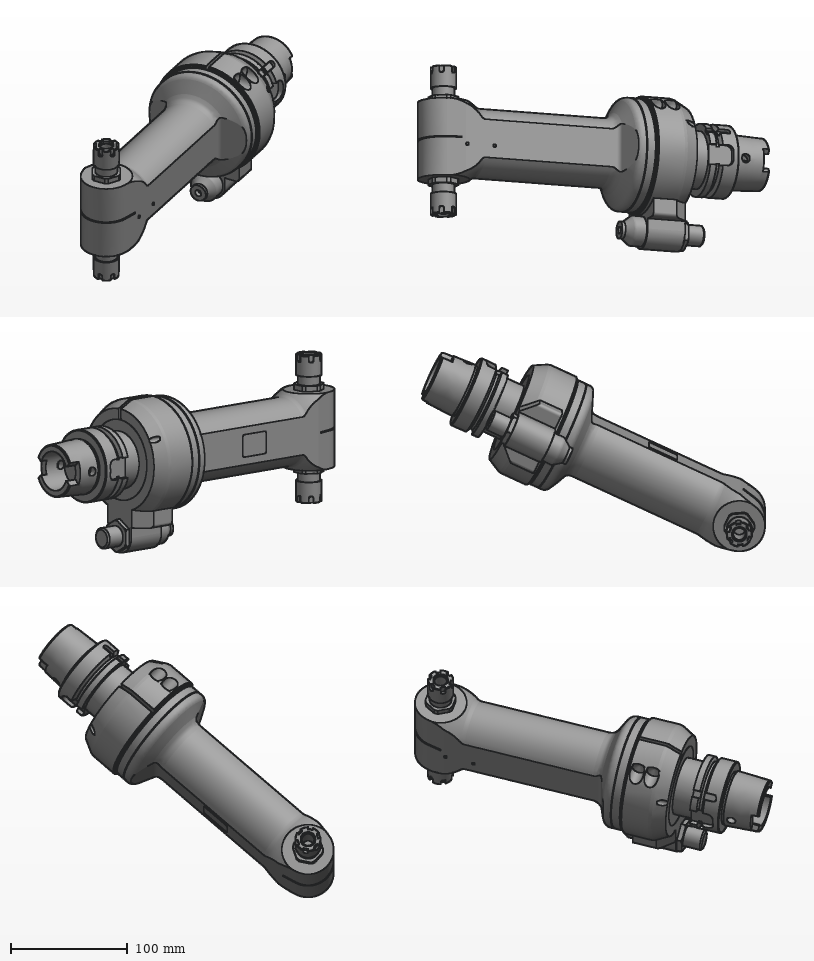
import cadquery as cq
import math


taper_length = 32.0
taper_dia = 48.3
taper_tail_dia = 45.4
tail_chamfer = 1.0
undercut_width = 2.0
undercut_dia = 46.6
flange_dia = 63.0
flange_length = 26.0
flange_chamfer = 0.8
grip_groove_dia = 55.0
grip_groove_start = -14.4
grip_groove_floor_start = -16.6
grip_groove_floor_end = -19.0
grip_groove_end = -20.2
neck_dia = 50.0
shank_bore_dia = 34.0
shank_bore_depth = 27.0
cross_hole_dia = 7.5
cross_hole_y = 9.0
drive_slot_half_width = 6.25
drive_slot_mouth_half_width = 10.0
drive_slot_flare_start = 17.0
drive_slot_flare_end = 20.5
drive_slot_depths = {-1: 10.0, 1: 6.0}
key_width = 18.0
key_floor = 26.5
key_end_y = -5.0
key_corner_radius = 5.5
notch_width = 6.0
notch_depth = 3.0
notch_angle = 45.0
notch_end_radius = 2.7

ring_dia = 102.0
ring_bore_dia = 70.0
ring_start = -43.3
ring_end = -81.8
ring_back_dia = 88.8
ring_cone_end = -55.7
ring_cone_edge_radius = 6.0
ring_front_chamfer = 1.0
clamp_slot_width = 3.0
clamp_screw_dia = 12.0
clamp_screw_ys = (-60.6, -73.6)
clamp_screw_z = 41.0
clamp_screw_floor = 24.0
drill_tip_length = 3.5
pin_hole_dia = 5.0
pin_hole_radius = 46.5
pin_hole_depth = 12.0
pin_hole_angle = 29.5
arm_half_width = 29.0
arm_end = -77.6
arm_bottom = -57.2
arm_corner_cut = 13.2
arm_edge_radius = 3.0
arm_boss_radius = 15.0

pin_axis_z = -65.95
pin_dia = 18.0
pin_tail_y = -22.5
pin_tail_chamfer = 1.5
pin_hex_flats = 25.0
pin_hex_dia = 29.0
pin_hex_back = -39.0
pin_hex_chamfer = 1.0
pin_head_dia = 26.0
pin_cone_edge_radius = 3.0
pin_cone_start = -87.6
pin_cone_end = -94.8
pin_tip_dia = 15.0
pin_tip_y = -97.8
pin_tip_bore_dia = 6.0
pin_tip_bore_depth = 5.0

housing_dia = 98.0
tube_dia = 60.0
collar_dia = 97.0
collar_end = -83.2
housing_groove_y = -91.0
housing_groove_width = 0.6
housing_groove_depth = 0.4
cone_start = -97.83
cone_angle = 60.0
cone_end = cone_start - (housing_dia - tube_dia) / 2 / math.tan(math.radians(cone_angle))
cone_outer_radius = 6.0
cone_inner_radius = 10.0
flat_half_width = 25.0
flat_ramp_start = (60.0, -93.3)
flat_ramp_end_y = -107.15
flat_ramp_radius = 4.2
head_y = -258.92
head_radius = 22.0
head_half_height = 33.5
head_sphere_radius = 40.3
head_sphere_fillet = 6.0
head_shoulder_y = -248.0
head_trim_start = -215.0
head_groove_width = 0.8
head_groove_depth = 0.5
head_groove_start = -251.5
label_length = 26.7
label_height = 19.6
label_y = -175.0
label_corner_radius = 2.0
label_depth = 0.2
plug_dia = 2.5
plug_height = 0.5
plug_z = -6.0
plug_ys = (-221.6, -246.6)

spindle_half_length = 64.3
spindle_dia = 19.2
spindle_hex_flats = 24.0
spindle_hex_dia = 26.0
spindle_hex_top = 38.2
nut_dia = 22.0
nut_base = 46.0
nut_chamfer = 0.6
collet_mouth_dia = 12.8
collet_mouth_depth = 2.0
collet_bore_dia = 10.4
collet_bore_depth = 22.0
nut_slot_count = 6
nut_slot_width = 4.2
nut_slot_depth = 6.0
nut_slot_floor_radius = 8.5
nut_slot_end_radius = 2.0


def revolve_about_y(points):
    """Solid of revolution about Y from (radius, y) points."""
    return cq.Workplane("XY").polyline(points).close().revolve(360, (0, 0), (0, 1))


def cylinder_y(dia, y_from, y_to, x=0.0, z=0.0):
    """Cylinder along Y between two y values."""
    disc = cq.Workplane("XZ", origin=(x, y_from, z)).circle(dia / 2)
    return disc.extrude(y_from - y_to)


def box_between(corner, opposite):
    """Box spanned by two opposite corners."""
    size = [b - a for a, b in zip(corner, opposite)]
    return cq.Workplane("XY").box(*size, centered=False).translate(corner)


def edge_at(x, y, reach=1.0):
    """Selects edges whose centre lies at (x, y), at any height within reach."""
    near = 0.05
    return cq.selectors.BoxSelector((x - near, y - near, -reach), (x + near, y + near, reach))


def hexagon_corner_dia(across_flats):
    """Diameter of the circle through the corners of a hexagon."""
    return across_flats / math.cos(math.radians(30))


def drive_slot(side):
    """Tail slot whose walls flare outwards, on the -X or +X side."""
    reach = taper_dia
    upper = [
        (0, drive_slot_half_width),
        (drive_slot_flare_start, drive_slot_half_width),
        (drive_slot_flare_end, drive_slot_mouth_half_width),
        (reach, drive_slot_mouth_half_width),
    ]
    outline = [(side * x, z) for x, z in upper] + [(side * x, -z) for x, z in reversed(upper)]
    section = cq.Workplane("XZ", origin=(0, taper_length, 0)).polyline(outline).close()
    return section.extrude(drive_slot_depths[side])


def flange_keyway(side):
    """Flat-floored keyway open towards the neck."""
    inner, outer = sorted((side * key_floor, side * flange_dia))
    slot = box_between((inner, -flange_length, -key_width / 2), (outer, key_end_y, key_width / 2))
    return slot.edges("|X and >Y").fillet(key_corner_radius)


def make_shank():
    outline = [
        (0, taper_length),
        (taper_tail_dia / 2 - tail_chamfer, taper_length),
        (taper_tail_dia / 2, taper_length - tail_chamfer),
        (taper_dia / 2, undercut_width),
        (undercut_dia / 2, undercut_width),
        (undercut_dia / 2, 0),
        (flange_dia / 2 - flange_chamfer, 0),
        (flange_dia / 2, -flange_chamfer),
        (flange_dia / 2, grip_groove_start),
        (grip_groove_dia / 2, grip_groove_floor_start),
        (grip_groove_dia / 2, grip_groove_floor_end),
        (flange_dia / 2, grip_groove_end),
        (flange_dia / 2, -flange_length),
        (neck_dia / 2, -flange_length),
        (neck_dia / 2, ring_start),
        (0, ring_start),
    ]
    shank = revolve_about_y(outline)
    shank = shank.cut(cylinder_y(shank_bore_dia, taper_length, taper_length - shank_bore_depth))
    cross_hole = cq.Workplane("YZ").center(cross_hole_y, 0).circle(cross_hole_dia / 2)
    shank = shank.cut(cross_hole.extrude(flange_dia, both=True))
    for side in drive_slot_depths:
        shank = shank.cut(drive_slot(side)).cut(flange_keyway(side))
    notch = box_between(
        (flange_dia / 2 - notch_depth, -flange_length, -notch_width / 2),
        (flange_dia, key_end_y, notch_width / 2),
    )
    notch = notch.edges("|X and >Y").fillet(notch_end_radius)
    return shank.cut(notch.rotate((0, 0, 0), (0, 1, 0), -notch_angle))


def torque_arm():
    """Block under the ring, with cut back corners and a rounded boss around the pin."""
    half_back = arm_half_width - arm_corner_cut
    plan = [
        (-half_back, ring_start),
        (half_back, ring_start),
        (arm_half_width, ring_start - arm_corner_cut),
        (arm_half_width, arm_end),
        (-arm_half_width, arm_end),
        (-arm_half_width, ring_start - arm_corner_cut),
    ]
    arm = cq.Workplane("XY").polyline(plan).close().extrude(arm_bottom)
    arm = arm.faces("<Z").edges("|Y").fillet(arm_edge_radius)
    boss_web = box_between((-arm_boss_radius, arm_end, pin_axis_z), (arm_boss_radius, ring_start, 0))
    boss = cylinder_y(2 * arm_boss_radius, ring_start, arm_end, z=pin_axis_z)
    return arm.union(boss_web).union(boss)


def clamp_screw_hole(y):
    """Blind screw hole along X with a drill-point bottom."""
    radius = clamp_screw_dia / 2
    outline = [
        (clamp_screw_floor - drill_tip_length, 0),
        (clamp_screw_floor, radius),
        (ring_dia, radius),
        (ring_dia, 0),
    ]
    hole = cq.Workplane("XY").polyline(outline).close().revolve(360, (0, 0), (1, 0))
    return hole.translate((0, y, clamp_screw_z))


def make_ring():
    outline = [
        (0, ring_start),
        (ring_back_dia / 2, ring_start),
        (ring_dia / 2, ring_cone_end),
        (ring_dia / 2, ring_end + ring_front_chamfer),
        (ring_dia / 2 - ring_front_chamfer, ring_end),
        (0, ring_end),
    ]
    ring = revolve_about_y(outline).edges(edge_at(0, ring_cone_end)).fillet(ring_cone_edge_radius)
    ring = ring.union(torque_arm())
    ring = ring.cut(cylinder_y(ring_bore_dia, ring_start, ring_end))
    half_slot = clamp_slot_width / 2
    ring = ring.cut(box_between((-half_slot, ring_end, 0), (half_slot, ring_start, ring_dia)))
    for y in clamp_screw_ys:
        ring = ring.cut(clamp_screw_hole(y))
    pin_hole_x = pin_hole_radius * math.cos(math.radians(pin_hole_angle))
    pin_hole_z = pin_hole_radius * math.sin(math.radians(pin_hole_angle))
    for x in (-pin_hole_x, pin_hole_x):
        ring = ring.cut(cylinder_y(pin_hole_dia, ring_start, ring_start - pin_hole_depth, x, pin_hole_z))
    return ring.cut(cylinder_y(pin_dia, ring_start, arm_end, z=pin_axis_z))


def make_locating_pin():
    outline = [
        (0, pin_tail_y),
        (pin_dia / 2 - pin_tail_chamfer, pin_tail_y),
        (pin_dia / 2, pin_tail_y - pin_tail_chamfer),
        (pin_dia / 2, arm_end),
        (pin_head_dia / 2, arm_end),
        (pin_head_dia / 2, pin_cone_start),
        (pin_tip_dia / 2, pin_cone_end),
        (pin_tip_dia / 2, pin_tip_y),
        (0, pin_tip_y),
    ]
    pin = revolve_about_y(outline).edges(edge_at(0, pin_cone_start)).fillet(pin_cone_edge_radius)
    hexagon = cq.Workplane("XZ", origin=(0, pin_hex_back, 0)).polygon(6, hexagon_corner_dia(pin_hex_flats))
    hex_collar = hexagon.extrude(pin_hex_back - ring_start).rotate((0, 0, 0), (0, 1, 0), 30)
    hex_limit = cylinder_y(pin_hex_dia, pin_hex_back, ring_start).faces(">Y").chamfer(pin_hex_chamfer)
    pin = pin.union(hex_collar.intersect(hex_limit))
    pin = pin.cut(cylinder_y(pin_tip_bore_dia, pin_tip_y + pin_tip_bore_depth, pin_tip_y))
    return pin.translate((0, 0, pin_axis_z))


def head_tangent_point():
    """Point where the side line from the shoulder meets the nose circle."""
    rise = head_shoulder_y - head_y
    angle = math.atan2(rise, flat_half_width)
    angle -= math.acos(head_radius / math.hypot(flat_half_width, rise))
    return head_radius * math.cos(angle), head_y + head_radius * math.sin(angle)


def side_envelope(inset, start_y, half_height):
    """Block with the plan of the flats and the round nose, from start_y to the tip."""
    half_width = flat_half_width - inset
    tangent_x, tangent_y = head_tangent_point()
    shrink = 1 - inset / head_radius
    tangent_x *= shrink
    tangent_y = head_y + (tangent_y - head_y) * shrink
    plan = (
        cq.Workplane("XY")
        .moveTo(half_width, start_y)
        .lineTo(half_width, head_shoulder_y)
        .lineTo(tangent_x, tangent_y)
        .threePointArc((0, head_y - head_radius + inset), (-tangent_x, tangent_y))
        .lineTo(-half_width, head_shoulder_y)
        .lineTo(-half_width, start_y)
        .close()
    )
    return plan.extrude(half_height, both=True)


def hub_envelope():
    """Full-width block behind the flats, with ramps that run down into them."""
    ramp_x, ramp_y = flat_ramp_start
    plan = [
        (-ramp_x, ring_start),
        (ramp_x, ring_start),
        (ramp_x, ramp_y),
        (flat_half_width, flat_ramp_end_y),
        (-flat_half_width, flat_ramp_end_y),
        (-ramp_x, ramp_y),
    ]
    return cq.Workplane("XY").polyline(plan).close().extrude(ring_dia, both=True)


def make_housing():
    sphere_start = head_y + math.sqrt(head_sphere_radius**2 - (tube_dia / 2) ** 2)
    arc_mid_angle = math.asin((sphere_start - head_y) / head_sphere_radius) / 2
    arc_mid_radius = head_sphere_radius * math.cos(arc_mid_angle)
    arc_mid_y = head_y + head_sphere_radius * math.sin(arc_mid_angle)
    nose_end = head_y - 2 * head_radius
    groove_start = housing_groove_y + housing_groove_width / 2
    groove_end = groove_start - housing_groove_width
    groove_radius = housing_dia / 2 - housing_groove_depth
    housing = (
        cq.Workplane("XY")
        .moveTo(0, ring_start)
        .lineTo(ring_bore_dia / 2, ring_start)
        .lineTo(ring_bore_dia / 2, ring_end)
        .lineTo(collar_dia / 2, ring_end)
        .lineTo(collar_dia / 2, collar_end)
        .lineTo(housing_dia / 2, collar_end)
        .lineTo(housing_dia / 2, groove_start)
        .lineTo(groove_radius, groove_start)
        .lineTo(groove_radius, groove_end)
        .lineTo(housing_dia / 2, groove_end)
        .lineTo(housing_dia / 2, cone_start)
        .lineTo(tube_dia / 2, cone_end)
        .lineTo(tube_dia / 2, sphere_start)
        .threePointArc((arc_mid_radius, arc_mid_y), (head_sphere_radius, head_y))
        .lineTo(head_sphere_radius, nose_end)
        .lineTo(0, nose_end)
        .close()
        .revolve(360, (0, 0), (0, 1))
    )
    housing = housing.edges(edge_at(0, cone_start)).fillet(cone_outer_radius)
    housing = housing.edges(edge_at(0, cone_end)).fillet(cone_inner_radius)
    housing = housing.edges(edge_at(0, sphere_start)).fillet(head_sphere_fillet)

    envelope = hub_envelope().union(side_envelope(0, flat_ramp_end_y, ring_dia))
    for x in (-flat_half_width, flat_half_width):
        envelope = envelope.edges(edge_at(x, flat_ramp_end_y)).fillet(flat_ramp_radius)
    housing = housing.intersect(envelope)

    head_block = box_between(
        (-ring_dia, head_y - head_radius, head_half_height), (ring_dia, head_trim_start, ring_dia)
    )
    housing = housing.cut(head_block).cut(head_block.mirror("XY"))

    groove = box_between(
        (-ring_dia, nose_end, -head_groove_width / 2),
        (ring_dia, head_groove_start, head_groove_width / 2),
    )
    groove = groove.cut(side_envelope(head_groove_depth, flat_ramp_end_y, head_groove_width))
    housing = housing.cut(groove)

    label = cq.Workplane("YZ", origin=(-flat_half_width, label_y, 0)).rect(label_length, label_height)
    label = label.extrude(label_depth).edges("|X").fillet(label_corner_radius)
    housing = housing.cut(label)
    for y in plug_ys:
        plug = cq.Workplane("YZ", origin=(flat_half_width, y, plug_z)).circle(plug_dia / 2)
        housing = housing.union(plug.extrude(plug_height))

    spindle_bore = cq.Workplane("XY", origin=(0, head_y, 0)).circle(spindle_dia / 2)
    return housing.cut(spindle_bore.extrude(head_half_height, both=True))


def spindle_half():
    """Upper half of the spindle: shaft, hexagon, slotted collet nut and collet bore."""
    half = cq.Workplane("XY").circle(spindle_dia / 2).extrude(nut_base)
    hex_height = spindle_hex_top - head_half_height
    hex_base = cq.Workplane("XY", origin=(0, 0, head_half_height))
    hexagon = hex_base.polygon(6, hexagon_corner_dia(spindle_hex_flats)).extrude(hex_height)
    half = half.union(hexagon.intersect(hex_base.circle(spindle_hex_dia / 2).extrude(hex_height)))

    nut_length = spindle_half_length - nut_base
    nut = cq.Workplane("XY", origin=(0, 0, nut_base)).circle(nut_dia / 2).extrude(nut_length)
    nut = nut.faces(">Z").chamfer(nut_chamfer)
    slot_base = spindle_half_length - nut_slot_depth
    slot = box_between(
        (nut_slot_floor_radius, -nut_slot_width / 2, slot_base),
        (nut_dia, nut_slot_width / 2, spindle_half_length),
    )
    slot = slot.edges("|X and <Z").fillet(nut_slot_end_radius)
    for index in range(nut_slot_count):
        turn = 90 + index * 360 / nut_slot_count
        nut = nut.cut(slot.rotate((0, 0, 0), (0, 0, 1), turn))
    half = half.union(nut)
    top = cq.Workplane("XY", origin=(0, 0, spindle_half_length))
    half = half.cut(top.circle(collet_mouth_dia / 2).extrude(-collet_mouth_depth))
    return half.cut(top.circle(collet_bore_dia / 2).extrude(-collet_bore_depth))


def make_spindle():
    half = spindle_half()
    return half.union(half.mirror("XY")).translate((0, head_y, 0))


shank = make_shank()
ring = make_ring()
locating_pin = make_locating_pin()
housing = make_housing()
spindle = make_spindle()

result = cq.Compound.makeCompound(
    [body.solids().val() for body in (shank, ring, locating_pin, housing, spindle)]
)